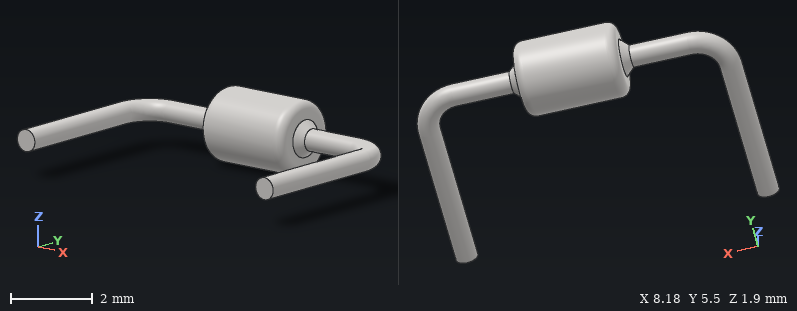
import cadquery as cq

overall_width = 8.18
overall_depth = 5.5

lead_diameter = 0.565
lead_radius = lead_diameter / 2
bend_radius = 0.835

body_length = 2.6
body_diameter = 1.9
body_radius = body_diameter / 2
body_edge_radius = 0.245

collar_length = 0.21
collar_base_radius = 0.475

lead_axis_x = overall_width / 2 - lead_radius
lead_end_y = body_radius - overall_depth


def make_lead():
    """Sweep one continuous round wire through both bends."""
    path = (
        cq.Workplane("XY")
        .moveTo(-lead_axis_x, lead_end_y)
        .lineTo(-lead_axis_x, -bend_radius)
        .radiusArc((-lead_axis_x + bend_radius, 0), bend_radius)
        .lineTo(lead_axis_x - bend_radius, 0)
        .radiusArc((lead_axis_x, -bend_radius), bend_radius)
        .lineTo(lead_axis_x, lead_end_y)
    )
    profile = cq.Workplane("XZ", origin=(-lead_axis_x, lead_end_y, 0)).circle(lead_radius)
    return profile.sweep(path)


def make_body():
    """Round-edged cylinder lying along X."""
    cylinder = cq.Workplane("YZ", origin=(-body_length / 2, 0, 0)).circle(body_radius).extrude(body_length)
    return cylinder.faces("|X").edges().fillet(body_edge_radius)


def make_collar(side):
    """Cone narrowing from the body end face to the lead; side is -1 or 1."""
    face_x = side * body_length / 2
    tip_x = face_x + side * collar_length
    return (
        cq.Workplane("XY")
        .moveTo(face_x, 0)
        .lineTo(face_x, collar_base_radius)
        .lineTo(tip_x, lead_radius)
        .lineTo(tip_x, 0)
        .close()
        .revolve(360, (0, 0, 0), (1, 0, 0))
    )


result = make_body().union(make_lead())
for side in (-1, 1):
    result = result.union(make_collar(side))